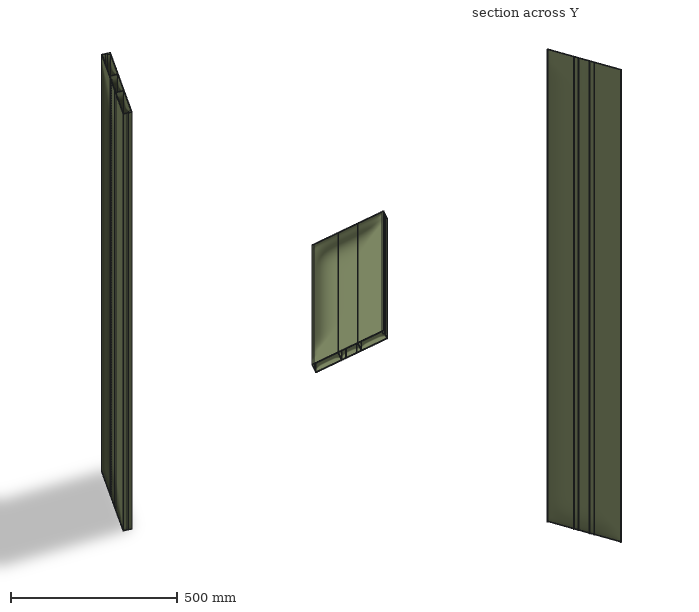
import cadquery as cq

WIDTH = 240.0
DEPTH = 28.0
LENGTH = 2000.0

WALL = 2.0
SEAM_Y = -2.0
LIP_START_Y = 5.0
LIP_THICKNESS = 5.0
WEB_SPACING = 65.0
RIB_SPACING = 35.0
RIB_HEIGHT = 2.0

FRONT_Y = -DEPTH / 2
BACK_Y = DEPTH / 2
FRONT_INNER_Y = FRONT_Y + WALL
BACK_INNER_Y = BACK_Y - WALL


def bar(x_center, x_size, y_min, y_max):
    """Full-length rectangular bar, centred on x_center and on the XY plane."""
    y_size = y_max - y_min
    return cq.Workplane("XY").box(x_size, y_size, LENGTH).translate((x_center, y_min + y_size / 2, 0))


def mirrored_bars(x_center, x_size, y_min, y_max):
    """The same bar on both sides of the panel's middle plane."""
    return bar(-x_center, x_size, y_min, y_max).union(bar(x_center, x_size, y_min, y_max))


def side_walls(thickness, y_min, y_max):
    """Pair of side walls flush with the outer width."""
    return mirrored_bars((WIDTH - thickness) / 2, thickness, y_min, y_max)


def make_front_shell():
    """Front sheet with side walls, two webs reaching the rear sheet and two low ribs."""
    sheet = bar(0, WIDTH, FRONT_Y, FRONT_INNER_Y)
    webs = mirrored_bars(WEB_SPACING / 2, WALL, FRONT_Y, BACK_INNER_Y)
    ribs = mirrored_bars(RIB_SPACING / 2, WALL, FRONT_Y, FRONT_INNER_Y + RIB_HEIGHT)
    return sheet.union(side_walls(WALL, FRONT_Y, SEAM_Y)).union(webs).union(ribs)


def make_back_shell():
    """Rear sheet with side walls that thicken inward towards the sheet."""
    sheet = bar(0, WIDTH, BACK_INNER_Y, BACK_Y)
    lips = side_walls(LIP_THICKNESS, LIP_START_Y, BACK_Y)
    return sheet.union(side_walls(WALL, SEAM_Y, BACK_Y)).union(lips)


front_shell = make_front_shell()
back_shell = make_back_shell()

result = cq.Compound.makeCompound([front_shell.val(), back_shell.val()])